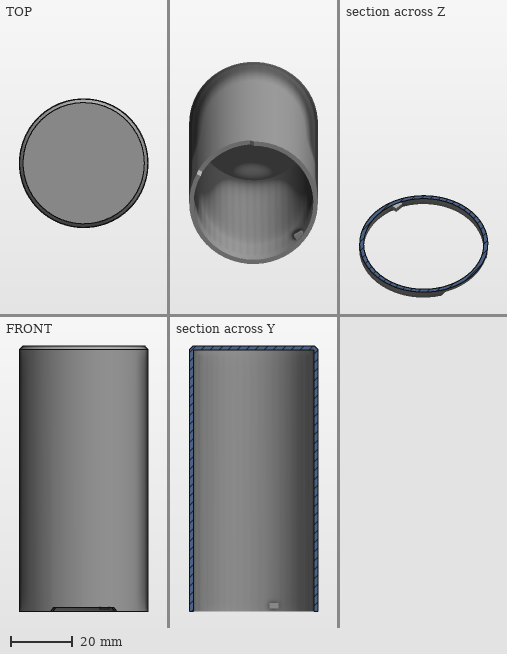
import cadquery as cq
import math

height = 86.2
outer_diameter = 41.7
top_face_diameter = 39.3
wall = 1.5

notch_height = 1.4
notch_base_half_angle = 31.2
notch_top_half_angle = 27.8

lug_width = 2.9
lug_center_x = 6.7
lug_bottom = 0.95
lug_height = 1.7
lug_projection = 0.9

outer_radius = outer_diameter / 2
bore_radius = outer_radius - wall
chamfer = (outer_diameter - top_face_diameter) / 2


def make_shell():
    body = cq.Workplane("XY").circle(outer_radius).extrude(height)
    body = body.faces(">Z").edges().chamfer(chamfer)
    cavity = cq.Workplane("XY").circle(bore_radius).extrude(height - wall)
    return body.cut(cavity)


def notch_section(distance):
    """Corners of the trapezoidal notch at a given distance from the axis."""
    base_half = distance * math.tan(math.radians(notch_base_half_angle))
    top_half = distance * math.tan(math.radians(notch_top_half_angle))
    return [
        (-base_half, 0),
        (base_half, 0),
        (top_half, notch_height),
        (-top_half, notch_height),
    ]


def make_notch():
    near = bore_radius / 2
    far = outer_radius + wall
    return (
        cq.Workplane("XZ", origin=(0, -near, 0))
        .polyline(notch_section(near)).close()
        .workplane(offset=far - near)
        .polyline(notch_section(far)).close()
        .loft(ruled=True)
    )


def make_lug():
    outer_corner_x = lug_center_x + lug_width / 2
    inner_face_y = math.sqrt(bore_radius**2 - outer_corner_x**2) - lug_projection
    block = (
        cq.Workplane("XY", origin=(lug_center_x, inner_face_y, lug_bottom))
        .rect(lug_width, 2 * outer_radius)
        .extrude(lug_height)
    )
    ring_limit = (
        cq.Workplane("XY").circle(outer_radius - wall / 2).extrude(height)
    )
    front_half = (
        cq.Workplane("XY")
        .box(outer_diameter, 2 * inner_face_y, height, centered=(True, True, False))
    )
    return block.intersect(ring_limit).cut(front_half)


result = make_shell().cut(make_notch()).union(make_lug())